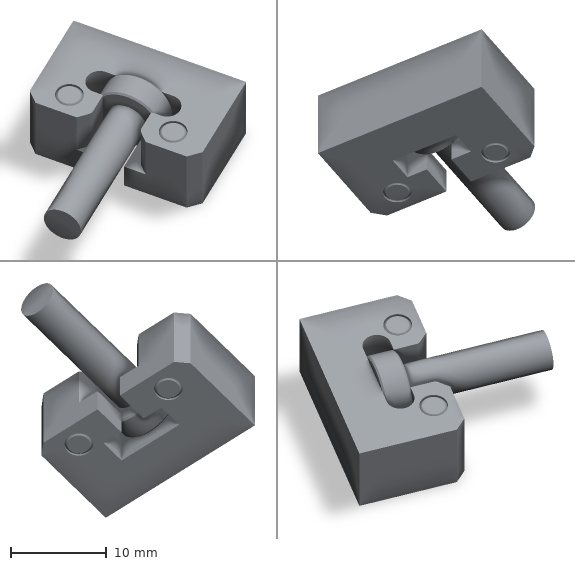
import cadquery as cq

width = 20.0
depth = 12.0
overall_length = 24.0
plates_height = 3.0
plate_thickness = plates_height / 2
housing_height = 5.18
stack_height = plates_height + housing_height
corner_chamfer = 1.25

shank_overhang = overall_length - depth
head_diameter = 7.73
head_thickness = 3.0
head_chamfer = 0.2
shank_diameter = 4.3
head_top = 9.4
bolt_axis_z = head_top - head_diameter / 2

head_slot_length = 10.8
head_slot_width = head_thickness
head_slot_back_wall = 5.02
head_slot_y = depth - head_slot_back_wall - head_slot_width / 2
shank_slot_width = 5.6
mouth_chamfer = 1.2
mouth_fillet = 0.8
plate_slot_width = 3.0

pin_diameter = 3.0
pin_chamfer = 0.3
pin_x = 6.0
pin_y = 2.5
pin_centres = [(-pin_x, pin_y), (pin_x, pin_y)]


def chamfered_block(thickness, base_z):
    """Rectangular block with its two front corners cut off."""
    return (
        cq.Workplane("XY", origin=(0, 0, base_z))
        .rect(width, depth)
        .extrude(thickness)
        .edges("|Z and <Y")
        .chamfer(corner_chamfer)
        .translate((0, depth / 2, 0))
    )


def pin_holes():
    """Cylinders that clear both pins through the whole stack."""
    return (
        cq.Workplane("XY")
        .pushPoints(pin_centres)
        .circle(pin_diameter / 2)
        .extrude(stack_height)
    )


def head_slot():
    """Round-ended crosswise slot for the bolt head, through the housing."""
    return (
        cq.Workplane("XY", origin=(0, head_slot_y, plates_height))
        .slot2D(head_slot_length, head_slot_width)
        .extrude(housing_height)
    )


def plate_t_slot():
    """T-shaped opening through both plates: a head-sized bar and a narrow slot to the front."""
    head_opening = (
        cq.Workplane("XY", origin=(0, head_slot_y, 0))
        .rect(head_diameter, head_slot_width)
        .extrude(plates_height)
    )
    front_slot = (
        cq.Workplane("XY", origin=(0, head_slot_y / 2, 0))
        .rect(plate_slot_width, head_slot_y)
        .extrude(plates_height)
    )
    return head_opening.union(front_slot)


def shank_slot():
    """Slot for the bolt shank in the housing, widened by a chamfered, rounded mouth."""
    half_width = shank_slot_width / 2
    half_mouth = half_width + mouth_chamfer
    outline = [
        (-half_mouth, 0),
        (half_mouth, 0),
        (half_width, mouth_chamfer),
        (half_width, head_slot_y),
        (-half_width, head_slot_y),
        (-half_width, mouth_chamfer),
    ]
    slot = (
        cq.Workplane("XY", origin=(0, 0, plates_height))
        .polyline(outline)
        .close()
        .extrude(housing_height)
    )
    neck_edges = cq.selectors.BoxSelector(
        (-half_mouth, mouth_chamfer / 2, 0),
        (half_mouth, mouth_chamfer * 3 / 2, stack_height),
    )
    return slot.edges("|Z").edges(neck_edges).fillet(mouth_fillet)


def make_housing():
    block = chamfered_block(housing_height, plates_height)
    return block.cut(head_slot()).cut(shank_slot()).cut(pin_holes())


def make_middle_plate():
    plate = chamfered_block(plate_thickness, plate_thickness)
    return plate.cut(plate_t_slot()).cut(pin_holes())


def make_bottom_plate():
    plate = chamfered_block(plate_thickness, 0)
    return plate.cut(plate_t_slot()).cut(pin_holes())


def make_bolt():
    """Chamfered round head with a plain shank pointing to the front."""
    head_back = head_slot_y + head_thickness / 2
    head = (
        cq.Workplane("XZ", origin=(0, head_back, bolt_axis_z))
        .circle(head_diameter / 2)
        .extrude(head_thickness)
        .edges()
        .chamfer(head_chamfer)
    )
    shank = (
        cq.Workplane("XZ", origin=(0, head_slot_y, bolt_axis_z))
        .circle(shank_diameter / 2)
        .extrude(head_slot_y + shank_overhang)
    )
    return head.union(shank)


def make_pin(x, y):
    """Dowel pin through the whole stack, chamfered at both ends."""
    return (
        cq.Workplane("XY", origin=(x, y, 0))
        .circle(pin_diameter / 2)
        .extrude(stack_height)
        .edges()
        .chamfer(pin_chamfer)
    )


housing = make_housing()
middle_plate = make_middle_plate()
bottom_plate = make_bottom_plate()
bolt = make_bolt()
pins = [make_pin(x, y) for x, y in pin_centres]

result = cq.Compound.makeCompound(
    [housing.val(), middle_plate.val(), bottom_plate.val(), bolt.val(), *[pin.val() for pin in pins]]
)